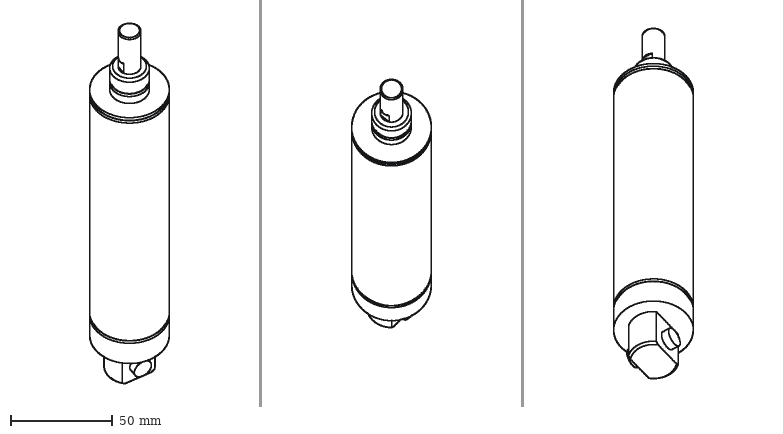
import cadquery as cq

total_height = 236.7
barrel_diameter = 39.5
barrel_bottom = 22.7
barrel_top = 195.3

groove_width = 2.0
groove_depth = 0.7
upper_groove_center = 192.5
lower_groove_center = 37.9

neck_diameter = 19.6
neck_top = 211.6
neck_chamfer = 1.5
neck_groove_width = 2.1
neck_groove_depth = 0.7
neck_groove_center = 201.2

tang_diameter = 25.3
tang_thickness = 16.8
tang_chamfer = 1.2

pin_diameter = 10.0
pin_length = tang_diameter
pin_height = 10.0

rod_diameter = 11.4
rod_bottom = barrel_top
rod_chamfer = 0.7
flat_spacing = 10.0
flat_top = 218.0


def cylinder(diameter, bottom, top):
    """Upright cylinder on the Z axis between two heights."""
    return cq.Workplane("XY").workplane(offset=bottom).circle(diameter / 2).extrude(top - bottom)


def groove_cutter(diameter, depth, width, center):
    """Ring of triangular section that cuts a V groove around a cylinder at a height."""
    radius = diameter / 2
    return (
        cq.Workplane("XZ")
        .moveTo(radius, center - width / 2)
        .lineTo(radius - depth, center)
        .lineTo(radius, center + width / 2)
        .close()
        .revolve(360, (0, 0, 0), (0, 1, 0))
    )


def cross_pin():
    """Round pin along X, centered on the tang."""
    return (
        cq.Workplane("YZ")
        .center(0, pin_height)
        .circle(pin_diameter / 2)
        .extrude(pin_length / 2, both=True)
    )


def make_rod():
    """Round rod with two wrench flats facing -Y and +Y just above the neck."""
    rod = cylinder(rod_diameter, rod_bottom, total_height).faces(">Z").chamfer(rod_chamfer)
    flat_height = flat_top - neck_top
    flatted = (
        cq.Workplane("XY")
        .workplane(offset=neck_top)
        .rect(rod_diameter, flat_spacing)
        .extrude(flat_height)
    )
    waste = cylinder(2 * rod_diameter, neck_top, flat_top).cut(flatted)
    return rod.cut(waste)


def make_neck():
    """Chamfered neck with a V groove."""
    neck = cylinder(neck_diameter, barrel_top, neck_top).faces(">Z").chamfer(neck_chamfer)
    return neck.cut(groove_cutter(neck_diameter, neck_groove_depth, neck_groove_width, neck_groove_center))


def make_tang():
    """Round stub with a chamfered end and two flat sides facing -X and +X."""
    stub = cylinder(tang_diameter, 0, barrel_bottom).faces("<Z").chamfer(tang_chamfer)
    slab = cq.Workplane("XY").rect(tang_thickness, tang_diameter).extrude(barrel_bottom)
    return stub.intersect(slab)


def make_housing():
    """Barrel, neck and tang in one body, with holes for the rod and the cross pin."""
    barrel = cylinder(barrel_diameter, barrel_bottom, barrel_top)
    for center in (lower_groove_center, upper_groove_center):
        barrel = barrel.cut(groove_cutter(barrel_diameter, groove_depth, groove_width, center))
    housing = barrel.union(make_neck()).union(make_tang())
    rod_bore = cylinder(rod_diameter, rod_bottom, neck_top)
    return housing.cut(rod_bore).cut(cross_pin())


housing = make_housing()
rod = make_rod()
pin = cross_pin()

result = cq.Compound.makeCompound([housing.val(), rod.val(), pin.val()])